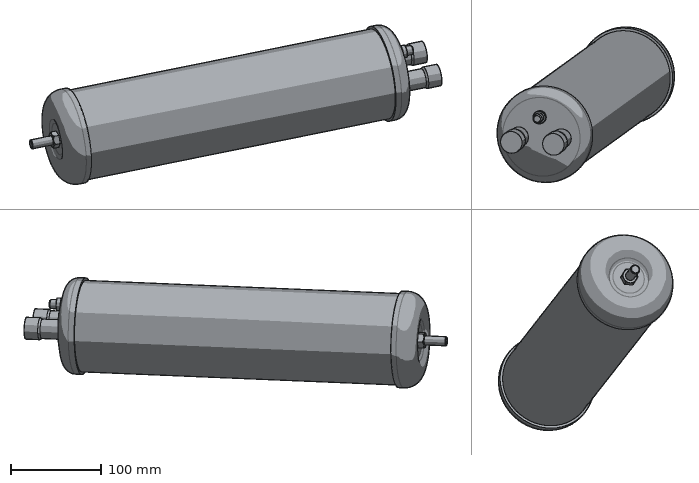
import cadquery as cq
import math

OVERALL_LENGTH = 471.5

SHELL_RADIUS = 51.0
SHELL_START = 52.5
SHELL_END = 411.0

CAP_RADIUS = 53.7
INLET_SKIRT_LENGTH = 6.5
DRAIN_SKIRT_LENGTH = 6.0

CROWN_RADIUS = 141.5
KNUCKLE_RADIUS = 13.5

RIM_RADIUS = 20.0
RIM_INNER_EDGE = 22.5
DISH_FLOOR_RADIUS = 18.0

NUT_FLATS = 16.0
NUT_FACE = 24.5
NUT_CHAMFER_HEIGHT = 1.5
STUB_RADIUS = 5.0
STUB_CHAMFER = 1.0

PIPE_OFFSET = 24.0
PIPE_RADIUS = 11.0
SOCKET_RADIUS = 12.3
SOCKET_LENGTH = 15.5
SOCKET_TAPER_LENGTH = 2.5

VALVE_OFFSET = 23.5
VALVE_TIP = 449.5
VALVE_STEM_RADIUS = 5.0
VALVE_TIP_CHAMFER = 1.5
VALVE_FLANGE_RADIUS = 7.0
VALVE_FLANGE_START = 436.5
VALVE_FLANGE_END = 441.0

inlet_knuckle_start = SHELL_END + INLET_SKIRT_LENGTH
knuckle_centre_radius = CAP_RADIUS - KNUCKLE_RADIUS
crown_half_angle = math.asin(knuckle_centre_radius / (CROWN_RADIUS - KNUCKLE_RADIUS))
crown_centre = inlet_knuckle_start - (CROWN_RADIUS - KNUCKLE_RADIUS) * math.cos(crown_half_angle)

rim_centre_radius = CAP_RADIUS - RIM_RADIUS
rim_centre = SHELL_START - DRAIN_SKIRT_LENGTH
dish_angle = math.asin((rim_centre_radius - RIM_INNER_EDGE) / RIM_RADIUS)
dish_fillet_radius = (RIM_INNER_EDGE - DISH_FLOOR_RADIUS) / math.sin(dish_angle)
dish_floor = (
    rim_centre
    - RIM_RADIUS * math.cos(dish_angle)
    + dish_fillet_radius * (1 - math.cos(dish_angle))
)


def arc_point(centre, radius, angle):
    """Point on an arc in (radial, Y) coordinates, with the angle measured from the +Y direction."""
    return (centre[0] + radius * math.sin(angle), centre[1] + radius * math.cos(angle))


def revolve_about_y(profile):
    """Revolve a (radial, Y) outline one full turn about the Y axis."""
    return profile.close().revolve(360, (0, 0, 0), (0, 1, 0))


def rod(radius, start, end):
    """Solid cylinder on the Y axis between two Y positions."""
    return revolve_about_y(
        cq.Workplane("XY").moveTo(0, start).lineTo(radius, start).lineTo(radius, end).lineTo(0, end)
    )


def hex_prism(across_flats, start, end):
    """Hexagonal prism along Y with two corners on the X axis."""
    across_corners = across_flats / math.cos(math.pi / 6)
    return (
        cq.Workplane("XZ", origin=(0, start, 0))
        .polygon(6, across_corners)
        .extrude(start - end)
    )


def make_shell():
    return rod(SHELL_RADIUS, SHELL_START, SHELL_END)


def make_inlet_cap():
    knuckle = (knuckle_centre_radius, inlet_knuckle_start)
    crown = (0, crown_centre)
    mid_knuckle_angle = (crown_half_angle + math.pi / 2) / 2
    return revolve_about_y(
        cq.Workplane("XY")
        .moveTo(0, SHELL_END)
        .lineTo(CAP_RADIUS, SHELL_END)
        .lineTo(CAP_RADIUS, inlet_knuckle_start)
        .threePointArc(
            arc_point(knuckle, KNUCKLE_RADIUS, mid_knuckle_angle),
            arc_point(knuckle, KNUCKLE_RADIUS, crown_half_angle),
        )
        .threePointArc(
            arc_point(crown, CROWN_RADIUS, crown_half_angle / 2),
            arc_point(crown, CROWN_RADIUS, 0),
        )
    )


def make_drain_cap():
    rim = (rim_centre_radius, rim_centre)
    dish_fillet = (DISH_FLOOR_RADIUS, dish_floor - dish_fillet_radius)
    return revolve_about_y(
        cq.Workplane("XY")
        .moveTo(0, SHELL_START)
        .lineTo(CAP_RADIUS, SHELL_START)
        .lineTo(CAP_RADIUS, rim_centre)
        .threePointArc(
            arc_point(rim, RIM_RADIUS, math.pi),
            arc_point(rim, RIM_RADIUS, math.pi + dish_angle),
        )
        .threePointArc(
            arc_point(dish_fillet, dish_fillet_radius, dish_angle / 2),
            arc_point(dish_fillet, dish_fillet_radius, 0),
        )
        .lineTo(0, dish_floor)
    )


def make_drain_stub():
    return rod(STUB_RADIUS, 0, dish_floor).faces("<Y").chamfer(STUB_CHAMFER)


def make_drain_nut():
    """Hexagonal nut on the dish floor, its corners bevelled down to the flats at the outer face."""
    flat_radius = NUT_FLATS / 2
    corner_radius = flat_radius / math.cos(math.pi / 6)
    bevel = revolve_about_y(
        cq.Workplane("XY")
        .moveTo(0, NUT_FACE)
        .lineTo(flat_radius, NUT_FACE)
        .lineTo(corner_radius, NUT_FACE + NUT_CHAMFER_HEIGHT)
        .lineTo(corner_radius, dish_floor)
        .lineTo(0, dish_floor)
    )
    bore = rod(STUB_RADIUS, 0, dish_floor)
    return hex_prism(NUT_FLATS, NUT_FACE, dish_floor).intersect(bevel).cut(bore)


def make_pipe(x):
    """Connection pipe that tapers out into its socket."""
    socket_start = OVERALL_LENGTH - SOCKET_LENGTH
    pipe = revolve_about_y(
        cq.Workplane("XY")
        .moveTo(0, SHELL_END)
        .lineTo(PIPE_RADIUS, SHELL_END)
        .lineTo(PIPE_RADIUS, socket_start - SOCKET_TAPER_LENGTH)
        .lineTo(SOCKET_RADIUS, socket_start)
        .lineTo(SOCKET_RADIUS, OVERALL_LENGTH)
        .lineTo(0, OVERALL_LENGTH)
    )
    return pipe.translate((x, 0, 0))


def make_valve():
    """Chamfered round stem with a flange close to the crown."""
    stem = rod(VALVE_STEM_RADIUS, SHELL_END, VALVE_TIP).faces(">Y").chamfer(VALVE_TIP_CHAMFER)
    flange = rod(VALVE_FLANGE_RADIUS, VALVE_FLANGE_START, VALVE_FLANGE_END)
    return stem.union(flange).translate((0, 0, VALVE_OFFSET))


shell = make_shell()
drain_cap = make_drain_cap()
drain_nut = make_drain_nut()
drain_stub = make_drain_stub()
pipes = [make_pipe(x) for x in (-PIPE_OFFSET, PIPE_OFFSET)]
valve = make_valve()

inlet_cap = make_inlet_cap().cut(valve)
for pipe in pipes:
    inlet_cap = inlet_cap.cut(pipe)

result = cq.Compound.makeCompound(
    [
        shell.val(),
        inlet_cap.val(),
        drain_cap.val(),
        drain_nut.val(),
        drain_stub.val(),
        valve.val(),
        *[pipe.val() for pipe in pipes],
    ]
)